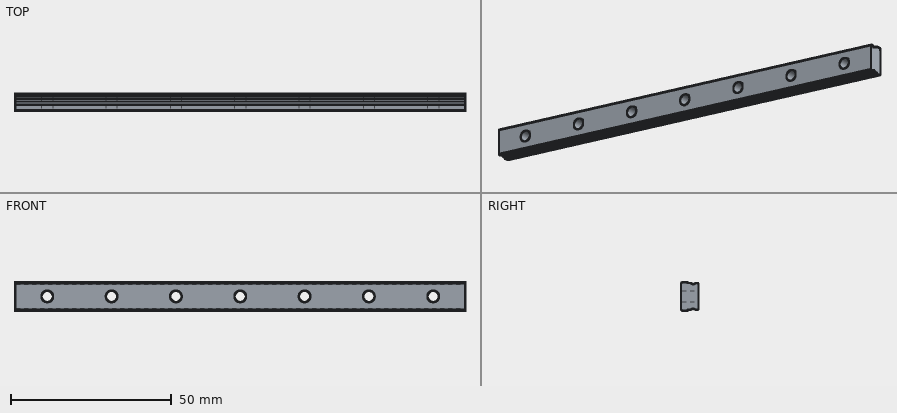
import cadquery as cq

length = 140.0
thickness = 5.5
height = 9.0

base_chamfer = 0.4
base_land_end = 2.0
shoulder_start = 2.1
groove_start = 3.0
groove_bottom = 3.8
groove_end = 4.6
head_chamfer = 0.3
head_half_height = 4.2
groove_depth = 0.4

hole_count = 7
hole_diameter = 3.5
hole_pitch = length / hole_count


def rail_body():
    """Extrude the grooved section, symmetric about Z = 0, along X."""
    half_height = height / 2
    upper_side = [
        (0, half_height - base_chamfer),
        (base_chamfer, half_height),
        (base_land_end, half_height),
        (shoulder_start, head_half_height),
        (groove_start, head_half_height),
        (groove_bottom, head_half_height - groove_depth),
        (groove_end, head_half_height),
        (thickness - head_chamfer, head_half_height),
        (thickness, head_half_height - head_chamfer),
    ]
    lower_side = [(y, -z) for y, z in reversed(upper_side)]
    return cq.Workplane("YZ").polyline(upper_side + lower_side).close().extrude(length)


def mounting_holes():
    """Row of through-hole cutters, half a pitch in from each end."""
    centers = [((index + 0.5) * hole_pitch, 0) for index in range(hole_count)]
    return cq.Workplane("XZ").pushPoints(centers).circle(hole_diameter / 2).extrude(-thickness)


result = rail_body().cut(mounting_holes())